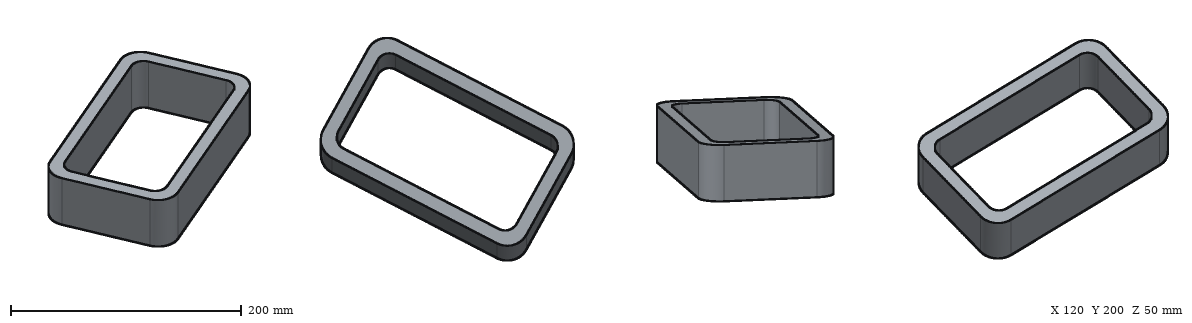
import cadquery as cq

width = 120.0
length = 200.0
height = 50.0

wall = 12.2
outer_corner_radius = 18.8
inner_corner_radius = 11.5


def rounded_block(size_x, size_y, corner_radius):
    """Upright block centred on the Z axis, with its vertical edges rounded."""
    block = cq.Workplane("XY").rect(size_x, size_y).extrude(height)
    return block.edges("|Z").fillet(corner_radius)


outer_body = rounded_block(width, length, outer_corner_radius)
opening = rounded_block(width - 2 * wall, length - 2 * wall, inner_corner_radius)

result = outer_body.cut(opening)